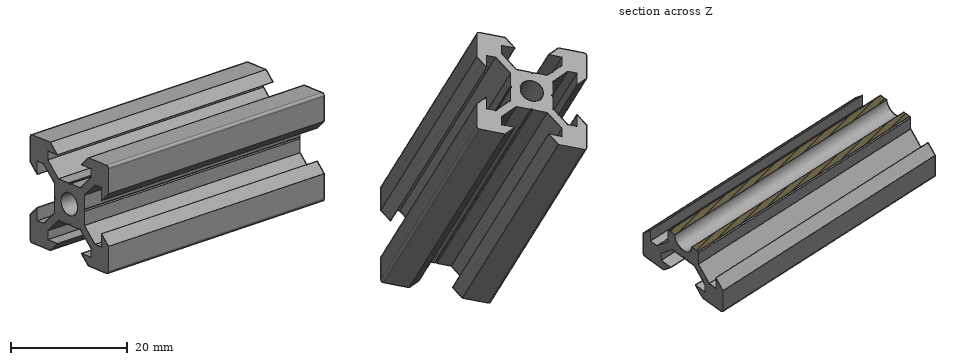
import cadquery as cq

side = 20.0
length = 50.0
corner_radius = 0.5
bore_diameter = 4.2

mouth_half_width = 4.85
lip_thickness = 1.8
cavity_half_width = 5.5
floor_height = 3.85
web_offset = 1.05

groove_half_width = 0.2
groove_depth = 0.2

half_side = side / 2
half_length = length / 2
lip_height = half_side - lip_thickness
tip_half_width = mouth_half_width - lip_thickness
flank_height = cavity_half_width + web_offset
floor_half_width = floor_height - web_offset


def make_slot():
    """Solid removed for the slot in the +Z face."""
    right_half = [
        (mouth_half_width, half_side),
        (tip_half_width, lip_height),
        (cavity_half_width, lip_height),
        (cavity_half_width, flank_height),
        (floor_half_width, floor_height),
        (groove_half_width, floor_height),
    ]
    groove_bottom = [(0, floor_height - groove_depth)]
    left_half = [(-x, z) for x, z in reversed(right_half)]
    outline = right_half + groove_bottom + left_half
    return cq.Workplane("XZ").polyline(outline).close().extrude(half_length, both=True)


bar = cq.Workplane("XY").box(side, length, side).edges("|Y").fillet(corner_radius)

slot = make_slot()
for angle in (0, 90, 180, 270):
    bar = bar.cut(slot.rotate((0, 0, 0), (0, 1, 0), angle))

bore = cq.Workplane("XZ").circle(bore_diameter / 2).extrude(half_length, both=True)
result = bar.cut(bore)